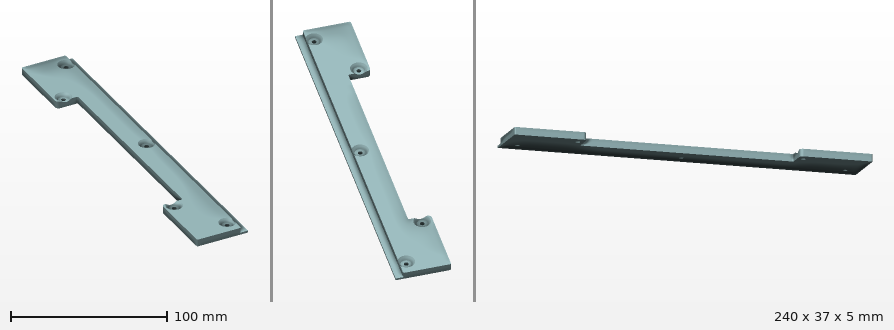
import cadquery as cq

length = 240.0
width = 37.0
thickness = 5.0

lip_depth = 5.0
lip_thickness = 1.5

foot_length = 48.5
foot_depth = 15.0
notch_length = length - 2 * foot_length

outer_corner_radius = 1.0
foot_corner_radius = 2.5
notch_corner_radius = 1.0

hole_diameter = 3.0
recess_top_diameter = 11.3
recess_floor_diameter = 7.2
recess_depth = 2.2
back_hole_inset = 10.0
back_hole_y = 27.0
foot_hole_inset = 44.5
foot_hole_y = 7.0

half_length = length / 2
half_notch = notch_length / 2
back_hole_x = half_length - back_hole_inset
foot_hole_x = half_length - foot_hole_inset
hole_positions = [
    (-back_hole_x, back_hole_y),
    (0, back_hole_y),
    (back_hole_x, back_hole_y),
    (-foot_hole_x, foot_hole_y),
    (foot_hole_x, foot_hole_y),
]


def make_body():
    """U-shaped block with rounded vertical corners, without the lip."""
    body_width = width - lip_depth
    body = cq.Workplane("XY").box(length, body_width, thickness, centered=(True, False, False))
    body = body.edges("|Z").fillet(outer_corner_radius)
    notch = cq.Workplane("XY").box(notch_length, foot_depth, thickness, centered=(True, False, False))
    notch = notch.edges("|Z and >Y").fillet(notch_corner_radius)
    body = body.cut(notch)
    for x in (-half_notch, half_notch):
        corner = cq.selectors.NearestToPointSelector((x, 0, thickness / 2))
        body = body.edges("|Z").edges(corner).fillet(foot_corner_radius)
    return body


def make_lip():
    """Full-length strip, running under the body past its rounded back corners."""
    strip_depth = lip_depth + outer_corner_radius
    return (
        cq.Workplane("XY", origin=(0, width - strip_depth, 0))
        .box(length, strip_depth, lip_thickness, centered=(True, False, False))
    )


def make_screw_hole(x, y):
    """Cutter for one screw hole, revolved about its vertical axis."""
    floor_z = thickness - recess_depth
    return (
        cq.Workplane("XZ")
        .polyline([
            (0, 0),
            (hole_diameter / 2, 0),
            (hole_diameter / 2, floor_z),
            (recess_floor_diameter / 2, floor_z),
            (recess_top_diameter / 2, thickness),
            (0, thickness),
        ])
        .close()
        .revolve(360, (0, 0, 0), (0, 1, 0))
        .translate((x, y, 0))
    )


result = make_body().union(make_lip())
for hole_x, hole_y in hole_positions:
    result = result.cut(make_screw_hole(hole_x, hole_y))